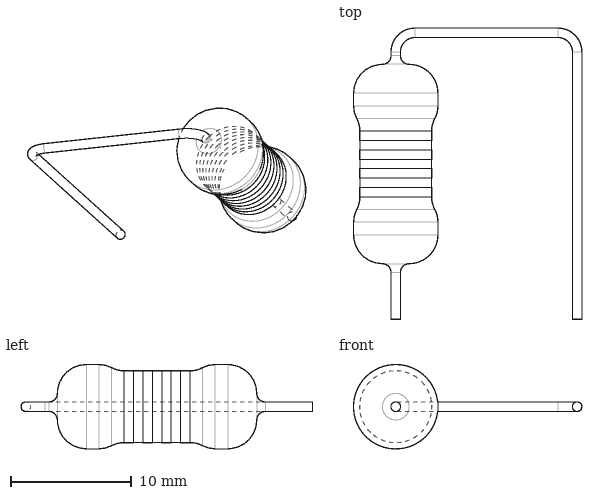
import cadquery as cq
import math


wire_diameter = 0.8
lead_pitch = 15.0
bend_radius = 1.6
crossing_y = 23.7

body_diameter = 7.0
body_length = 16.5
body_center_y = 12.85
shoulder_length = 1.05
lead_fillet_radius = 0.7

waist_diameter = 5.95
band_diameter = 5.97
band_count = 4
band_zone_length = 5.44

wire_radius = wire_diameter / 2
body_radius = body_diameter / 2
waist_radius = waist_diameter / 2
half_waist = band_zone_length / 2
band_width = band_zone_length / (2 * band_count - 1)

half_body = body_length / 2
fillet_rim_radius = wire_radius + lead_fillet_radius
end_round_radius = body_radius - fillet_rim_radius
shoulder_outer = half_body - end_round_radius
shoulder_inner = shoulder_outer - shoulder_length
fillet_end = half_body + lead_fillet_radius


def make_body_blank():
    """Body of revolution with its rounded ends, necks, waist and lead fillets."""
    diagonal = math.sqrt(0.5)
    round_middle_radius = fillet_rim_radius + end_round_radius * diagonal
    round_middle_y = shoulder_outer + end_round_radius * diagonal
    fillet_middle_radius = fillet_rim_radius - lead_fillet_radius * diagonal
    fillet_middle_y = fillet_end - lead_fillet_radius * diagonal
    neck_middle_radius = (body_radius + waist_radius) / 2
    neck_middle_y = (shoulder_inner + half_waist) / 2

    profile = (
        cq.Workplane("XY")
        .moveTo(0, -fillet_end)
        .lineTo(wire_radius, -fillet_end)
        .threePointArc((fillet_middle_radius, -fillet_middle_y), (fillet_rim_radius, -half_body))
        .threePointArc((round_middle_radius, -round_middle_y), (body_radius, -shoulder_outer))
        .lineTo(body_radius, -shoulder_inner)
        .tangentArcPoint((neck_middle_radius, -neck_middle_y), relative=False)
        .tangentArcPoint((waist_radius, -half_waist), relative=False)
        .lineTo(waist_radius, half_waist)
        .tangentArcPoint((neck_middle_radius, neck_middle_y), relative=False)
        .tangentArcPoint((body_radius, shoulder_inner), relative=False)
        .lineTo(body_radius, shoulder_outer)
        .threePointArc((round_middle_radius, round_middle_y), (fillet_rim_radius, half_body))
        .threePointArc((fillet_middle_radius, fillet_middle_y), (wire_radius, fillet_end))
        .lineTo(0, fillet_end)
        .close()
    )
    return profile.revolve(360, (0, 0, 0), (0, 1, 0))


def make_body():
    """Body blank with its raised colour bands, moved to its place along Y."""
    body = make_body_blank()
    for index in range(band_count):
        band_start = -half_waist + 2 * index * band_width
        band = cq.Workplane("XZ", origin=(0, band_start, 0)).circle(band_diameter / 2).extrude(-band_width)
        body = body.union(band)
    return body.translate((0, body_center_y, 0))


def make_near_lead():
    """Straight lead from Y = 0 into the body."""
    return cq.Workplane("XZ").circle(wire_radius).extrude(-body_center_y)


def make_far_lead():
    """Lead that leaves the other body end, crosses over in X and runs back to Y = 0."""
    bend_start_y = crossing_y - bend_radius
    path = (
        cq.Workplane("XY")
        .moveTo(0, body_center_y)
        .lineTo(0, bend_start_y)
        .tangentArcPoint((bend_radius, crossing_y), relative=False)
        .lineTo(lead_pitch - bend_radius, crossing_y)
        .tangentArcPoint((lead_pitch, bend_start_y), relative=False)
        .lineTo(lead_pitch, 0)
    )
    return cq.Workplane("XZ", origin=(0, body_center_y, 0)).circle(wire_radius).sweep(path)


result = make_body().union(make_near_lead()).union(make_far_lead())